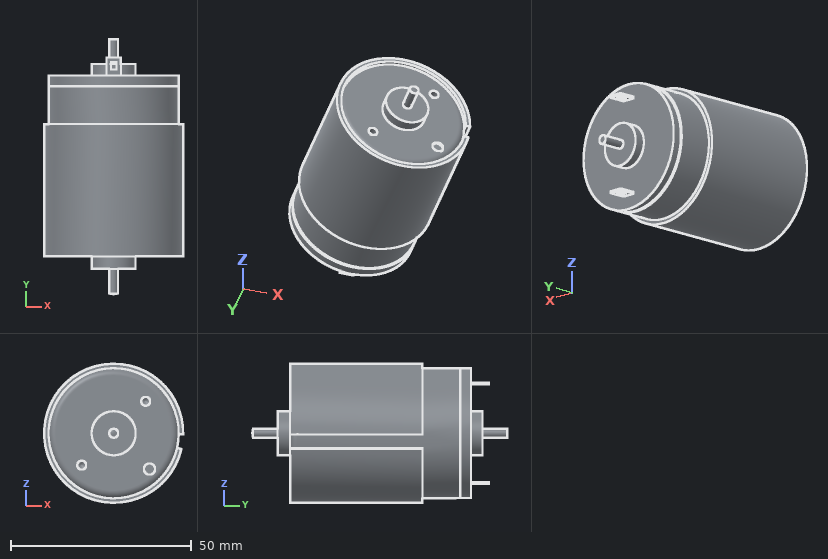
import cadquery as cq
import math

can_diameter = 36.0
can_length = 50.0
front_edge_radius = 2.0

groove_diameter = 35.6
groove_width = 0.2
cap_thickness = 2.9

sleeve_diameter = 38.5
sleeve_length = 36.5
slit_start_angle = -1.0
slit_end_angle = -13.0

boss_diameter = 12.2
front_boss_length = 3.5
rear_boss_length = 3.2
shaft_diameter = 2.5
front_shaft_length = 7.0
rear_shaft_length = 6.8
shaft_tip_height = 0.2

mount_hole_diameter = 2.5
mount_hole_depth = 3.0
mount_hole_circle_radius = 12.5
mount_hole_angles = (45, 225)
drill_point_angle = 118.0

recess_diameter = 3.1
recess_depth = 0.5
recess_circle_radius = 14.0
recess_angle = -45

terminal_width = 4.0
terminal_thickness = 0.5
terminal_length = 5.0
terminal_offset = 13.75
window_width = 1.5
window_length = 2.0
window_tip_margin = 1.3


def cylinder(diameter, start_y, length, x=0, z=0):
    """Cylinder along +Y, starting at start_y."""
    solid = cq.Solid.makeCylinder(diameter / 2, length, cq.Vector(x, start_y, z), cq.Vector(0, 1, 0))
    return cq.Workplane(solid)


def cone(diameter, base_y, height, x=0, z=0):
    """Cone with its base at base_y; a negative height points it toward -Y."""
    direction = cq.Vector(0, math.copysign(1, height), 0)
    solid = cq.Solid.makeCone(diameter / 2, 0, abs(height), cq.Vector(x, base_y, z), direction)
    return cq.Workplane(solid)


def point_on_circle(radius, angle):
    """X and Z of a point at an angle in degrees, measured from +X toward +Z."""
    direction = math.radians(angle)
    return radius * math.cos(direction), radius * math.sin(direction)


def make_can():
    can = cylinder(can_diameter, 0, can_length).faces("<Y").edges().fillet(front_edge_radius)
    groove_start = can_length - cap_thickness - groove_width
    ring = cylinder(can_diameter, groove_start, groove_width)
    ring = ring.cut(cylinder(groove_diameter, groove_start, groove_width))
    return can.cut(ring)


def make_sleeve():
    sleeve = cylinder(sleeve_diameter, 0, sleeve_length)
    sleeve = sleeve.cut(cylinder(can_diameter, 0, sleeve_length))
    slit_edges = [point_on_circle(sleeve_diameter, angle) for angle in (slit_start_angle, slit_end_angle)]
    slit = cq.Workplane("XZ").polyline([(0, 0), *slit_edges]).close().extrude(-sleeve_length)
    return sleeve.cut(slit)


def make_bosses_and_shaft():
    front_boss = cylinder(boss_diameter, -front_boss_length, front_boss_length)
    rear_boss = cylinder(boss_diameter, can_length, rear_boss_length)
    shaft_start = -front_boss_length - front_shaft_length
    shaft_end = can_length + rear_boss_length + rear_shaft_length
    tip_base = shaft_start + shaft_tip_height
    shaft = cylinder(shaft_diameter, tip_base, shaft_end - tip_base)
    tip = cone(shaft_diameter, tip_base, -shaft_tip_height)
    return front_boss.union(rear_boss).union(shaft).union(tip)


def make_mount_hole(angle):
    x, z = point_on_circle(mount_hole_circle_radius, angle)
    point_length = mount_hole_diameter / 2 / math.tan(math.radians(drill_point_angle / 2))
    bore = cylinder(mount_hole_diameter, 0, mount_hole_depth, x, z)
    return bore.union(cone(mount_hole_diameter, mount_hole_depth, point_length, x, z))


def make_recess():
    x, z = point_on_circle(recess_circle_radius, recess_angle)
    return cylinder(recess_diameter, 0, recess_depth, x, z)


def make_terminal(z):
    blade = cq.Workplane("XY").box(
        terminal_width, terminal_length, terminal_thickness, centered=(True, False, True)
    )
    window = (
        cq.Workplane("XY")
        .box(window_width, window_length, terminal_thickness, centered=(True, False, True))
        .translate((0, terminal_length - window_tip_margin - window_length, 0))
    )
    return blade.cut(window).translate((0, can_length, z))


result = make_can().union(make_sleeve()).union(make_bosses_and_shaft())

for hole_angle in mount_hole_angles:
    result = result.cut(make_mount_hole(hole_angle))

result = result.cut(make_recess())

for side in (1, -1):
    result = result.union(make_terminal(side * terminal_offset))